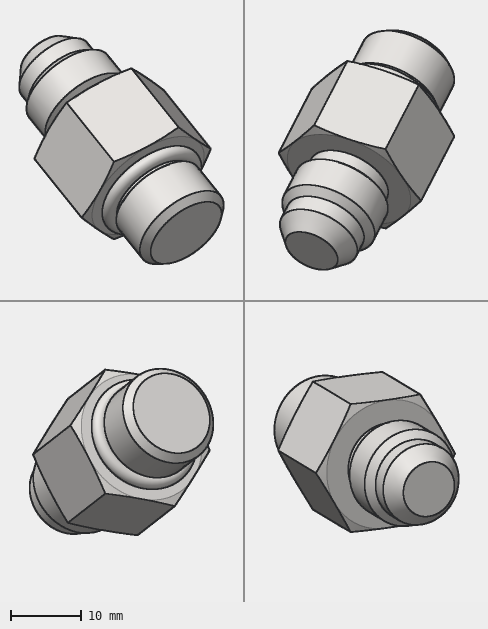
import cadquery as cq
import math


nose_cone_end = 2.58
front_thread_start = 6.22
front_thread_end = 11.12
hex_start = 13.77
hex_end = 26.9
rear_thread_start = 29.57
total_length = 36.83

nose_diameter = 11.97
thread_diameter = 14.3
neck_diameter = 12.15
groove_diameter = 12.3
hex_across_flats = 19.05
ring_section_diameter = 2.1

nose_cone_angle = 37.0
lead_in_angle = 45.0
thread_runout_angle = 60.0

rear_chamfer = 1.1
hex_chamfer_angle = 15.0

nose_radius = nose_diameter / 2
thread_radius = thread_diameter / 2
neck_radius = neck_diameter / 2
groove_radius = groove_diameter / 2
flat_radius = hex_across_flats / 2
corner_radius = flat_radius / math.cos(math.radians(30))
ring_section_radius = ring_section_diameter / 2


def cone_rise(length, angle):
    """Radial rise of a cone over an axial length."""
    return length * math.tan(math.radians(angle))


def cone_length(rise, angle):
    """Axial length of a cone over a radial rise."""
    return rise / math.tan(math.radians(angle))


def revolve_about_axis(profile):
    """Turn a closed (x, radius) profile around the X axis."""
    return profile.revolve(360, (0, 0, 0), (1, 0, 0))


def make_turned_core():
    """Nose, both thread cylinders, neck and O-ring groove."""
    nose_face_radius = nose_radius - cone_rise(nose_cone_end, nose_cone_angle)
    lead_in_start = front_thread_start - cone_length(thread_radius - nose_radius, lead_in_angle)
    neck_start = front_thread_end + cone_length(thread_radius - neck_radius, thread_runout_angle)
    groove_end = rear_thread_start - cone_length(thread_radius - groove_radius, thread_runout_angle)
    hex_middle = (hex_start + hex_end) / 2
    outline = [
        (0, 0),
        (0, nose_face_radius),
        (nose_cone_end, nose_radius),
        (lead_in_start, nose_radius),
        (front_thread_start, thread_radius),
        (front_thread_end, thread_radius),
        (neck_start, neck_radius),
        (hex_middle, neck_radius),
        (hex_middle, groove_radius),
        (groove_end, groove_radius),
        (rear_thread_start, thread_radius),
        (total_length - rear_chamfer, thread_radius),
        (total_length, thread_radius - rear_chamfer),
        (total_length, 0),
    ]
    return revolve_about_axis(cq.Workplane("XY").polyline(outline).close())


def make_hexagon():
    """Hexagon with flats facing +Z and -Z and corners chamfered at both ends."""
    prism = (
        cq.Workplane("YZ", origin=(hex_start, 0, 0))
        .polygon(6, 2 * corner_radius)
        .extrude(hex_end - hex_start)
    )
    chamfer_length = cone_rise(corner_radius - flat_radius, hex_chamfer_angle)
    envelope_outline = [
        (hex_start, 0),
        (hex_start, flat_radius),
        (hex_start + chamfer_length, corner_radius),
        (hex_end - chamfer_length, corner_radius),
        (hex_end, flat_radius),
        (hex_end, 0),
    ]
    envelope = revolve_about_axis(cq.Workplane("XY").polyline(envelope_outline).close())
    return prism.intersect(envelope)


def make_fitting():
    """One solid: the turned core fused with the hexagon."""
    return make_turned_core().union(make_hexagon()).solids()


def make_o_ring():
    """Ring seated on the groove floor and against the rear face of the hexagon."""
    section_center = (hex_end + ring_section_radius, groove_radius + ring_section_radius)
    section = cq.Workplane("XY").center(*section_center).circle(ring_section_radius)
    axis_start = (0, -section_center[1], 0)
    axis_end = (1, -section_center[1], 0)
    return section.revolve(360, axis_start, axis_end)


fitting = make_fitting()
o_ring = make_o_ring()

result = cq.Compound.makeCompound([fitting.val(), o_ring.val()])